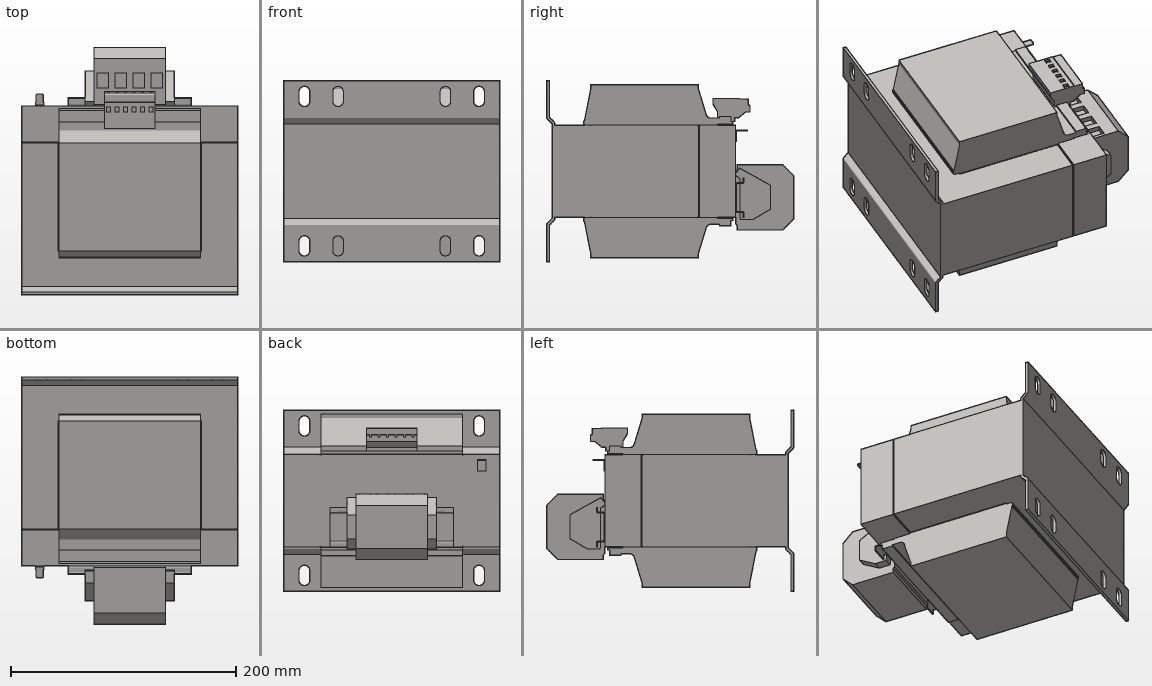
import cadquery as cq
import math


CORE_WIDTH = 192.0
CORE_HEIGHT = 82.0
CORE_BACK = 167.8
CORE_TOP = CORE_HEIGHT / 2
JOINT_Y = 134.8
JOINT_GAP = 0.9
JOINT_DEPTH = 0.9

OVERALL_HEIGHT = 161.0
SHEET = 2.6
FOOT_OFFSET = 4.8
FOOT_BEND_Z = 47.9
BEND_ANGLE = math.radians(45)
SLOT_WIDTH = 9.5
SLOT_LENGTH = 17.8
SLOT_Z = 66.3
SLOT_X = (47.7, 77.5)

COIL_WIDTH = 126.0
COIL_TOP = 76.9
COIL_TOP_FRONT = 39.0
COIL_TOP_BACK = JOINT_Y
FLANGE_TOP = 47.2
FLANGE_BACK = 165.4
FLANGE_GAP = 0.7
FLANGE_GAP_FRONT = 152.0
CLIP_TOP = 48.5
CLIP_FRONT = 153.5
CLIP_BACK = 163.5
CLIP_BASE = 44.0
COIL_FOOT_FRONT = 33.0
COIL_FOOT_CHAMFER = 1.0
COIL_FOOT_BACK = 142.7
COIL_FILLET = 4.2

RAIL_LENGTH = 109.4
RAIL_Z = -23.5
RAIL_HEIGHT = 35.1
RAIL_HAT = 26.8
RAIL_DEPTH = 7.5
RAIL_SHEET = 1.0
RAIL_INNER_BEND = 0.7
RAIL_OUTER_BEND = RAIL_INNER_BEND + RAIL_SHEET

BLOCK_COUNT = 4
BLOCK_WIDTH = 63.7
BLOCK_PITCH = BLOCK_WIDTH / BLOCK_COUNT
BLOCK_TOP = 5.7
BLOCK_BOTTOM = -52.3
BLOCK_BACK = 219.5
BLOCK_FRONT = 169.0
BLOCK_CHAMFER = 9.9
BLOCK_HOOK = 4.2
BLOCK_HOOK_SLOPE = 1.3
BLOCK_POCKET_WIDTH = 10.3
BLOCK_POCKET_LENGTH = 13.2
BLOCK_POCKET_Y = 190.5
BLOCK_POCKET_DEPTH = 4.5
END_STOP_THICKNESS = 7.7
END_STOP_BACK = 198.7
END_STOP_FRONT = 171.5
END_STOP_BOTTOM = -43.0

UNIT_POLES = (1, 2, 3)
POLES = sum(UNIT_POLES)
CONNECTOR_WIDTH = 45.2
POLE_PITCH = CONNECTOR_WIDTH / POLES
CONNECTOR_TOP = 64.5
CONNECTOR_BACK = 179.2
CONNECTOR_FRONT = 147.5
CONNECTOR_FOOT_FRONT = 151.5
CONNECTOR_FOOT_BACK = 167.1
CONNECTOR_STEP_Z = 64.1
LEDGE_BACK = 180.7
LEDGE_BOTTOM = 52.5
LEDGE_TOP = 58.9
LEDGE_DROP = 0.5
WIRE_NOTCH = 1.5
WIRE_NOTCH_DEPTH = 2.2
POLE_POCKET_WIDTH = 3.5
POLE_POCKET_LENGTH = 4.5
POLE_POCKET_Y = 164.5
POLE_POCKET_DEPTH = 2.2

TAB_X = -80.0
TAB_WIDTH = 6.5
TAB_BASE_WIDTH = 8.0
TAB_SHOULDER_Y = 170.8
TAB_BACK = 178.3
TAB_TOP = 36.5
TAB_BOTTOM = 26.1
TAB_SHEET = 0.9
TAB_CHAMFER = 0.9


def box(x0, x1, y0, y1, z0, z1):
    """Box between two opposite corners."""
    return cq.Workplane("XY").box(x1 - x0, y1 - y0, z1 - z0, centered=False).translate((x0, y0, z0))


def prism(points, x0, x1):
    """Closed (Y, Z) outline swept along X."""
    return cq.Workplane("YZ", origin=(x0, 0, 0)).polyline(points).close().extrude(x1 - x0)


def core():
    """Lamination stack with a shallow joint line round the yoke and beside the coil."""
    half = CORE_WIDTH / 2
    body = box(-half, half, FOOT_OFFSET + SHEET, CORE_BACK, -CORE_TOP, CORE_TOP)
    inner = half - JOINT_DEPTH
    coil_side = COIL_WIDTH / 2
    for side in (-1, 1):
        x0, x1 = sorted((side * inner, side * half))
        body = body.cut(box(x0, x1, JOINT_Y, JOINT_Y + JOINT_GAP, -CORE_TOP, CORE_TOP))
        gap_x0, gap_x1 = sorted((side * coil_side, side * (coil_side + JOINT_GAP)))
        yoke_x0, yoke_x1 = sorted((side * coil_side, side * half))
        for z0 in (-CORE_TOP, CORE_TOP - JOINT_DEPTH):
            z1 = z0 + JOINT_DEPTH
            body = body.cut(box(yoke_x0, yoke_x1, JOINT_Y, JOINT_Y + JOINT_GAP, z0, z1))
            body = body.cut(box(gap_x0, gap_x1, COIL_TOP_FRONT, JOINT_Y, z0, z1))
    return body


def mounting_plate():
    """Flat plate against the core, joggled forward into a slotted foot at each end."""
    half = CORE_WIDTH / 2
    reach = SHEET * math.sin(BEND_ANGLE)
    half_reach = SHEET * math.sin(BEND_ANGLE / 2)
    half_rise = SHEET * math.cos(BEND_ANGLE / 2)
    inner_bend_z = FOOT_BEND_Z - reach - (FOOT_OFFSET - SHEET + reach) / math.tan(BEND_ANGLE)
    plate_back = FOOT_OFFSET + SHEET
    foot_end = OVERALL_HEIGHT / 2
    foot = (
        cq.Workplane("YZ", origin=(-half, 0, 0))
        .moveTo(FOOT_OFFSET, 0)
        .lineTo(FOOT_OFFSET, inner_bend_z)
        .lineTo(SHEET - reach, FOOT_BEND_Z - reach)
        .threePointArc((SHEET - half_rise, FOOT_BEND_Z - half_reach), (0, FOOT_BEND_Z))
        .lineTo(0, foot_end)
        .lineTo(SHEET, foot_end)
        .lineTo(SHEET, FOOT_BEND_Z)
        .lineTo(FOOT_OFFSET + reach, inner_bend_z + reach)
        .threePointArc((FOOT_OFFSET + half_rise, inner_bend_z + half_reach), (plate_back, inner_bend_z))
        .lineTo(plate_back, 0)
        .close()
        .extrude(CORE_WIDTH)
    )
    slots = (
        cq.Workplane("XZ")
        .pushPoints([(side * x, SLOT_Z) for x in SLOT_X for side in (-1, 1)])
        .slot2D(SLOT_LENGTH, SLOT_WIDTH, 90)
        .extrude(-SHEET)
    )
    foot = foot.cut(slots)
    return foot.union(foot.mirror("XY"))


def coil():
    """Coil with its former, standing out alike above and below the core."""
    outline = [
        (COIL_FOOT_FRONT + COIL_FOOT_CHAMFER, 0),
        (COIL_FOOT_FRONT + COIL_FOOT_CHAMFER, CORE_TOP),
        (COIL_FOOT_FRONT, CORE_TOP + COIL_FOOT_CHAMFER),
        (COIL_FOOT_FRONT, 44.4),
        (33.5, 45.0),
        (COIL_TOP_FRONT, 73.0),
        (COIL_TOP_FRONT, COIL_TOP),
        (COIL_TOP_BACK, COIL_TOP),
        (COIL_TOP_BACK, 73.3),
        (COIL_FOOT_BACK, FLANGE_TOP),
        (CLIP_FRONT, FLANGE_TOP),
        (CLIP_FRONT, CLIP_TOP),
        (CLIP_BACK, CLIP_TOP),
        (CLIP_BACK, CLIP_BASE),
        (FLANGE_BACK, CLIP_BASE),
        (FLANGE_BACK, CORE_TOP + FLANGE_GAP),
        (FLANGE_GAP_FRONT, CORE_TOP + FLANGE_GAP),
        (FLANGE_GAP_FRONT, 0),
    ]
    half = COIL_WIDTH / 2
    upper = prism(outline, -half, half)
    upper = upper.edges(cq.NearestToPointSelector((0, COIL_FOOT_BACK, FLANGE_TOP))).fillet(COIL_FILLET)
    return upper.union(upper.mirror("XY"))


def rail():
    """Hat-section rail: web on the core, two legs and two outward lips, with rounded bends."""
    half = RAIL_LENGTH / 2
    back = CORE_BACK + RAIL_DEPTH
    leg_outer = RAIL_HAT / 2
    leg_inner = leg_outer - RAIL_SHEET
    lip_front = back - RAIL_SHEET
    outline = [
        (CORE_BACK, 0),
        (CORE_BACK, leg_outer),
        (lip_front, leg_outer),
        (lip_front, RAIL_HEIGHT / 2),
        (back, RAIL_HEIGHT / 2),
        (back, leg_inner),
        (CORE_BACK + RAIL_SHEET, leg_inner),
        (CORE_BACK + RAIL_SHEET, 0),
    ]
    upper = prism(outline, -half, half)
    bends = (
        (CORE_BACK, leg_outer, RAIL_OUTER_BEND),
        (CORE_BACK + RAIL_SHEET, leg_inner, RAIL_INNER_BEND),
        (lip_front, leg_outer, RAIL_INNER_BEND),
        (back, leg_inner, RAIL_OUTER_BEND),
    )
    for y, z, radius in bends:
        upper = upper.edges(cq.NearestToPointSelector((0, y, z))).fillet(radius)
    return upper.union(upper.mirror("XY")).translate((0, 0, RAIL_Z))


def terminal_block():
    """Row of equal terminals, each with a pocket in its upper face."""
    outline = [
        (BLOCK_FRONT, BLOCK_TOP),
        (BLOCK_FRONT, BLOCK_TOP - BLOCK_HOOK),
        (CORE_BACK, BLOCK_TOP - BLOCK_HOOK - BLOCK_HOOK_SLOPE),
        (CORE_BACK, BLOCK_BOTTOM + BLOCK_HOOK + BLOCK_HOOK_SLOPE),
        (BLOCK_FRONT, BLOCK_BOTTOM + BLOCK_HOOK),
        (BLOCK_FRONT, BLOCK_BOTTOM),
        (BLOCK_BACK - BLOCK_CHAMFER, BLOCK_BOTTOM),
        (BLOCK_BACK, BLOCK_BOTTOM + BLOCK_CHAMFER),
        (BLOCK_BACK, BLOCK_TOP - BLOCK_CHAMFER),
        (BLOCK_BACK - BLOCK_CHAMFER, BLOCK_TOP),
    ]
    pocket = cq.Workplane("XY").box(BLOCK_POCKET_WIDTH, BLOCK_POCKET_LENGTH, 2 * BLOCK_POCKET_DEPTH)
    terminal = prism(outline, -BLOCK_PITCH / 2, BLOCK_PITCH / 2)
    terminal = terminal.cut(pocket.translate((0, BLOCK_POCKET_Y, BLOCK_TOP)))
    first_x = -(BLOCK_COUNT - 1) / 2 * BLOCK_PITCH
    block = terminal.translate((first_x, 0, 0))
    for i in range(1, BLOCK_COUNT):
        block = block.union(terminal.translate((first_x + i * BLOCK_PITCH, 0, 0)), clean=False)
    return block


def end_stop():
    """Plate that clamps the terminals at the +X end, with a sloped back and a hook on the rail."""
    outline = [
        (END_STOP_BACK, -12.5),
        (END_STOP_FRONT, 2.6),
        (CORE_BACK, -2.0),
        (CORE_BACK, -3.7),
        (END_STOP_FRONT, -6.5),
        (END_STOP_FRONT, -39.5),
        (172.2, END_STOP_BOTTOM),
        (183.0, END_STOP_BOTTOM),
        (END_STOP_BACK, -33.8),
    ]
    inner = BLOCK_WIDTH / 2
    return prism(outline, inner, inner + END_STOP_THICKNESS)


def connector():
    """Side-by-side connector units; each pole has a top pocket and a notch in the rear ledge."""
    outline = [
        (CONNECTOR_BACK, 64.0),
        (177.2, CONNECTOR_STEP_Z),
        (171.3, CONNECTOR_STEP_Z),
        (170.6, CONNECTOR_TOP),
        (CONNECTOR_FRONT, CONNECTOR_TOP),
        (CONNECTOR_FRONT, 59.7),
        (CONNECTOR_FOOT_FRONT, 53.0),
        (CONNECTOR_FOOT_FRONT, CLIP_BASE),
        (CONNECTOR_FOOT_BACK, CLIP_BASE),
        (CONNECTOR_FOOT_BACK, FLANGE_TOP),
        (170.5, FLANGE_TOP),
        (176.8, LEDGE_BOTTOM),
        (LEDGE_BACK, LEDGE_BOTTOM),
        (LEDGE_BACK, LEDGE_TOP - LEDGE_DROP),
        (CONNECTOR_BACK, LEDGE_TOP),
    ]
    left = -CONNECTOR_WIDTH / 2
    body = None
    for poles in UNIT_POLES:
        unit = prism(outline, left, left + poles * POLE_PITCH)
        body = unit if body is None else body.union(unit, clean=False)
        left += poles * POLE_PITCH

    pocket = cq.Workplane("XY").box(POLE_POCKET_WIDTH, POLE_POCKET_LENGTH, 2 * POLE_POCKET_DEPTH)
    notch_floor = LEDGE_TOP - WIRE_NOTCH_DEPTH
    half_notch = WIRE_NOTCH / 2
    for i in range(POLES):
        x = (i - (POLES - 1) / 2) * POLE_PITCH
        notch = box(x - half_notch, x + half_notch, CONNECTOR_BACK, LEDGE_BACK, notch_floor, LEDGE_TOP)
        body = body.cut(pocket.translate((x, POLE_POCKET_Y, CONNECTOR_TOP)), clean=False)
        body = body.cut(notch, clean=False)
    return body


def earth_tab():
    """Bent tab: a leg on the core and a narrower blade pointing backwards."""
    half = TAB_WIDTH / 2
    half_base = TAB_BASE_WIDTH / 2
    x0, x1 = TAB_X - half_base, TAB_X + half_base
    leg = box(x0, x1, CORE_BACK, CORE_BACK + TAB_SHEET, TAB_BOTTOM, TAB_TOP)
    shoulder = box(x0, x1, CORE_BACK, TAB_SHOULDER_Y, TAB_TOP - TAB_SHEET, TAB_TOP)
    blade = box(TAB_X - half, TAB_X + half, CORE_BACK, TAB_BACK, TAB_TOP - TAB_SHEET, TAB_TOP)
    blade = blade.edges("|Z and >Y").chamfer(TAB_CHAMFER)
    return leg.union(shoulder).union(blade)


stop = end_stop()
result = core()
for piece in (
    mounting_plate(),
    coil(),
    rail(),
    terminal_block(),
    stop,
    stop.mirror("YZ"),
    connector(),
    earth_tab(),
):
    result = result.union(piece, clean=False)